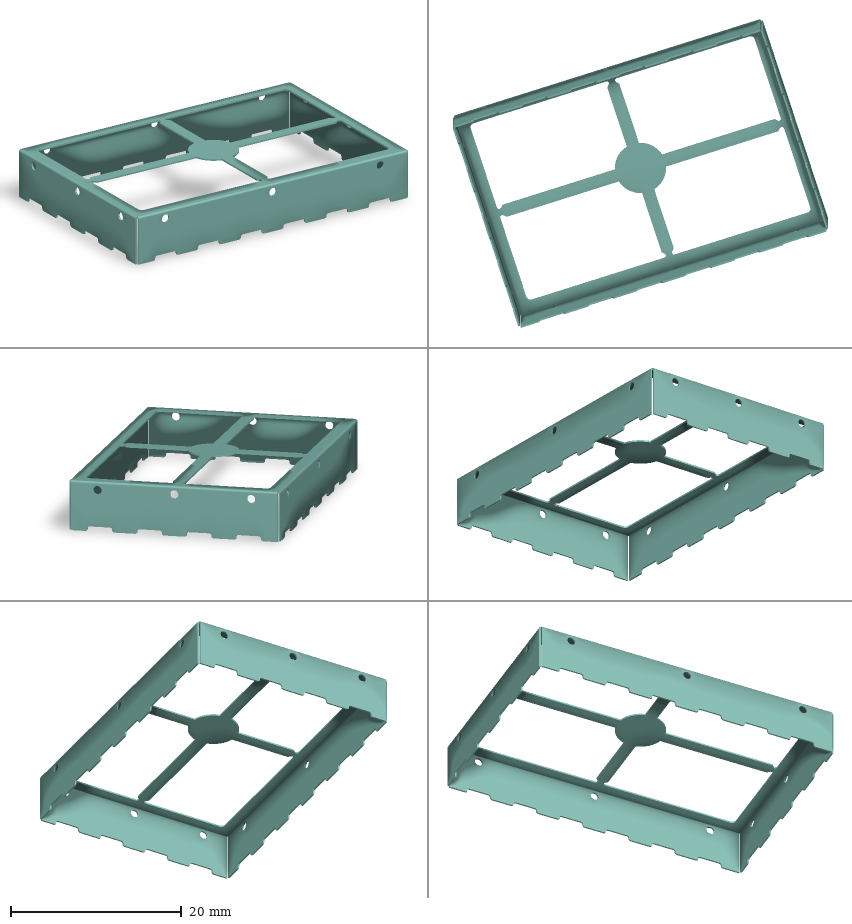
import cadquery as cq

width = 25.4
length = 38.1
height = 6.0

sheet = 0.2
bend_radius = 0.25
inner_bend_radius = bend_radius - sheet

rim = 1.6
bar_width = 1.5
disc_diameter = 6.0
window_radius = 0.5
neck_radius = 0.25

hole_diameter = 1.0
hole_drop = 1.0
hole_spacing_x = 9.25
hole_spacing_y = 15.0

notch_pitch = 6.0
notch_width = notch_pitch / 2
notch_depth = 0.57
notch_radius = 0.25
notches_along_x = 4
notches_along_y = 6


def folded_shell():
    """Open-bottomed box with rounded folds and a square relief at each corner."""
    outside = cq.Workplane("XY").box(width, length, height, centered=(True, True, False))
    outside = outside.faces(">Z").edges().fillet(bend_radius)
    inside = cq.Workplane("XY").box(
        width - 2 * sheet, length - 2 * sheet, height - sheet, centered=(True, True, False)
    )
    inside = inside.faces(">Z").edges().fillet(inner_bend_radius)
    reliefs = (
        cq.Workplane("XY")
        .rect(width, length, forConstruction=True)
        .vertices()
        .rect(2 * bend_radius, 2 * bend_radius)
        .extrude(height)
    )
    return outside.cut(inside).cut(reliefs)


def lid_windows():
    """Four windows; each bar tapers at 45 degrees to a narrow neck at the rim."""
    far_x = width / 2 - rim
    far_y = length / 2 - rim
    half_bar = bar_width / 2
    window = (
        cq.Workplane("XY")
        .workplane(offset=height - 2 * sheet)
        .moveTo(half_bar, half_bar)
        .lineTo(far_x - half_bar, half_bar)
        .lineTo(far_x, 0)
        .lineTo(far_x, far_y)
        .lineTo(0, far_y)
        .lineTo(half_bar, far_y - half_bar)
        .close()
        .extrude(3 * sheet)
    )
    window = window.edges("|Z").edges(">(1, 1, 0)").fillet(window_radius)
    window = window.edges("|Z").edges("<X or <Y").fillet(neck_radius)
    disc = cq.Workplane("XY").circle(disc_diameter / 2).extrude(2 * height)
    window = window.cut(disc)
    pair = window.union(window.mirror("YZ"))
    return pair.union(pair.mirror("XZ"))


def wall_holes(plane, spacing, depth):
    """Three round holes passing through a pair of opposite walls."""
    centres = [(step * spacing, height - hole_drop) for step in (-1, 0, 1)]
    return cq.Workplane(plane).pushPoints(centres).circle(hole_diameter / 2).extrude(depth / 2, both=True)


def edge_notches(plane, count, depth):
    """Row of notches, rounded at top and bottom, through a pair of opposite walls."""
    half = notch_width / 2
    lip = half + notch_radius
    round_in = notch_depth - notch_radius
    notch = (
        cq.Workplane(plane)
        .moveTo(-lip, 0)
        .radiusArc((-half, notch_radius), -notch_radius)
        .lineTo(-half, round_in)
        .radiusArc((notch_radius - half, notch_depth), notch_radius)
        .lineTo(half - notch_radius, notch_depth)
        .radiusArc((half, round_in), notch_radius)
        .lineTo(half, notch_radius)
        .radiusArc((lip, 0), -notch_radius)
        .close()
        .extrude(depth / 2, both=True)
    )
    along = cq.Workplane(plane).plane.xDir
    notches = cq.Workplane("XY")
    for index in range(count):
        offset = (index - (count - 1) / 2) * notch_pitch
        notches = notches.add(notch.translate(along * offset))
    return notches.combine()


result = (
    folded_shell()
    .cut(lid_windows())
    .cut(wall_holes("XZ", hole_spacing_x, length))
    .cut(wall_holes("YZ", hole_spacing_y, width))
    .cut(edge_notches("XZ", notches_along_x, length))
    .cut(edge_notches("YZ", notches_along_y, width))
)